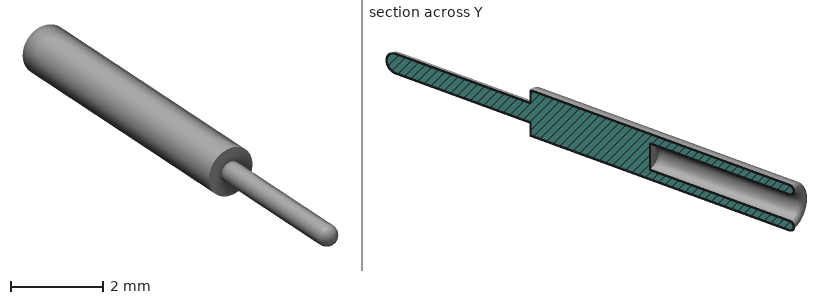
import cadquery as cq

BARREL_LENGTH = 6.985
BARREL_DIAMETER = 1.168
BORE_DIAMETER = 0.66
PIN_LENGTH = 3.81
PIN_DIAMETER = 0.508
BORE_DEPTH = PIN_LENGTH

barrel_radius = BARREL_DIAMETER / 2
bore_radius = BORE_DIAMETER / 2
pin_radius = PIN_DIAMETER / 2
lip_radius = (barrel_radius - bore_radius) / 2
total_length = BARREL_LENGTH + PIN_LENGTH


def make_barrel():
    """Barrel with a blind bore whose open end has a half-round lip."""
    profile = (
        cq.Workplane("XY")
        .moveTo(BORE_DEPTH, 0)
        .lineTo(BORE_DEPTH, bore_radius)
        .lineTo(lip_radius, bore_radius)
        .threePointArc((0, bore_radius + lip_radius), (lip_radius, barrel_radius))
        .lineTo(BARREL_LENGTH, barrel_radius)
        .lineTo(BARREL_LENGTH, 0)
        .close()
    )
    return profile.revolve(360, (0, 0, 0), (1, 0, 0))


def make_pin():
    """Pin from the closed end of the barrel, finished with a hemisphere."""
    shank_end = total_length - pin_radius
    shank = (
        cq.Workplane("YZ", origin=(BARREL_LENGTH, 0, 0))
        .circle(pin_radius)
        .extrude(shank_end - BARREL_LENGTH)
    )
    tip = cq.Workplane("XY", origin=(shank_end, 0, 0)).sphere(pin_radius)
    return shank.union(tip)


result = make_barrel().union(make_pin())